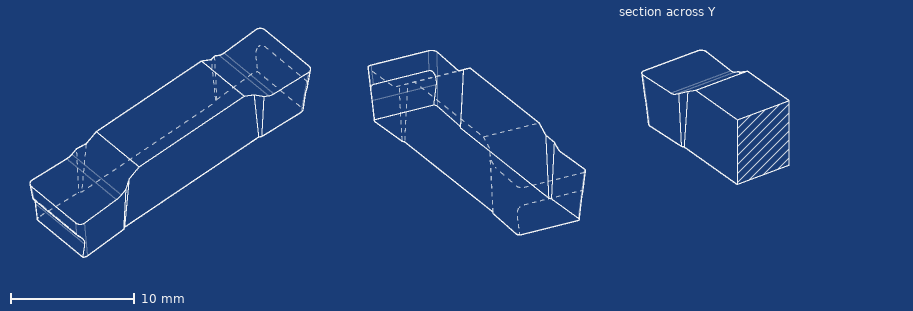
import cadquery as cq
import math

length = 25.55
cutting_width = 6.35
height = 6.14

land_height = 4.64
land_length = 4.16
corner_radius = 0.5
side_relief = math.radians(2.5)
flank_draft = math.radians(3)
front_draft = math.radians(7)

core_width = 5.2
neck_distance = 5.22
neck_angle = math.radians(30)

slope_angle = math.radians(30)
slope_blend_radius = 1.1
top_face_distance = 7.02

undercut_depth = 0.71
undercut_base_height = 1.79
undercut_top_height = 2.94

half_length = length / 2
half_core = core_width / 2
sharp_half_width = cutting_width / 2 + corner_radius * math.sin(side_relief)


def plan_outline(z):
    """Corner points of the sharp-cornered plan section at height z."""
    above_land = z - land_height
    width_change = above_land * math.tan(flank_draft)
    end_y = half_length + above_land * math.tan(front_draft)
    neck_y = half_length - neck_distance

    def flank_x(y):
        return sharp_half_width + width_change - (half_length - y) * math.tan(side_relief)

    neck_x = flank_x(neck_y)
    core_y = neck_y - (neck_x - half_core) / math.tan(neck_angle)
    quarter = [(flank_x(end_y), end_y), (neck_x, neck_y), (half_core, core_y)]

    right_side = quarter + [(x, -y) for x, y in reversed(quarter)]
    left_side = [(-x, -y) for x, y in right_side]
    return right_side + left_side


def make_drafted_body():
    """Full-height body with drafted flanks and rounded end corners."""
    body = (
        cq.Workplane("XY")
        .polyline(plan_outline(0))
        .close()
        .workplane(offset=height)
        .polyline(plan_outline(height))
        .close()
        .loft(ruled=True)
    )
    for end_face in ("<Y", ">Y"):
        body = body.faces(end_face).edges("not |X").fillet(corner_radius)
    return body


def make_side_profile():
    """Lengthwise section with lands, slopes and undercuts, extruded wider than the part."""
    base_y = half_length - undercut_depth
    undercut_top_y = half_length - (land_height - undercut_top_height) * math.tan(front_draft)

    undercut_rise = undercut_top_height - undercut_base_height
    undercut_run = undercut_top_y - base_y
    undercut_sweep = 2 * math.atan2(undercut_run, undercut_rise)
    undercut_radius = undercut_rise / math.sin(undercut_sweep)
    undercut_mid_y = base_y + undercut_radius * (1 - math.cos(undercut_sweep / 2))
    undercut_mid_z = undercut_base_height + undercut_radius * math.sin(undercut_sweep / 2)

    land_y = half_length - land_length

    def blend_point(angle):
        y = land_y - slope_blend_radius * math.sin(angle)
        z = land_height + slope_blend_radius * (1 - math.cos(angle))
        return y, z

    half_profile = (
        cq.Workplane("YZ")
        .lineTo(base_y, 0)
        .lineTo(base_y, undercut_base_height)
        .threePointArc((undercut_mid_y, undercut_mid_z), (undercut_top_y, undercut_top_height))
        .lineTo(half_length, land_height)
        .lineTo(land_y, land_height)
        .threePointArc(blend_point(slope_angle / 2), blend_point(slope_angle))
        .lineTo(half_length - top_face_distance, height)
        .lineTo(0, height)
        .close()
        .extrude(cutting_width, both=True)
    )
    return half_profile.union(half_profile.mirror("XZ"))


result = make_drafted_body().intersect(make_side_profile()).clean()